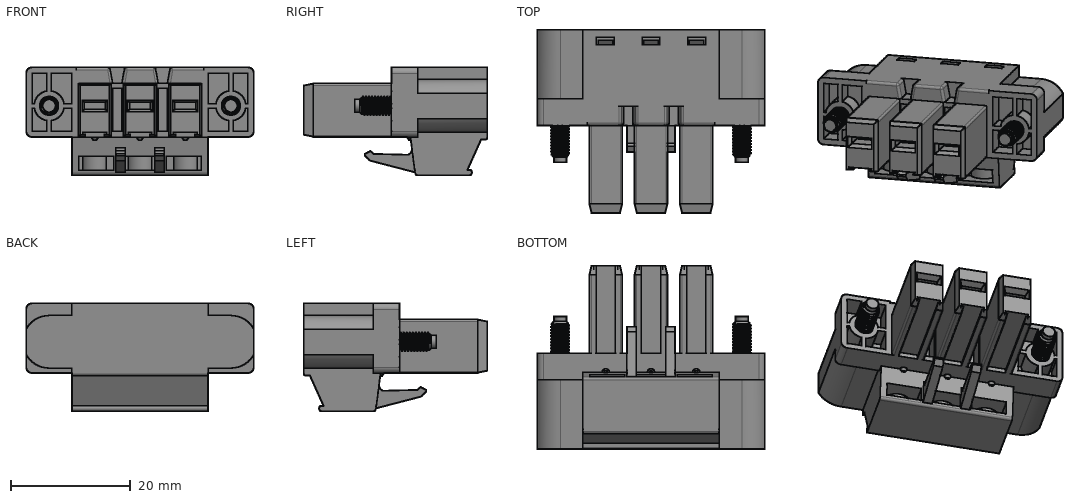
import cadquery as cq
import math


pitch = 7.62
half_width = 19.05
top_z = 6.45
flange_bottom_z = -5.25
bottom_z = -11.65
back_y = 16.05
flange_depth = 4.45
flange_corner = 1.0
body_half_width = 11.4
screw_x = 15.2
wing_radius = 4.4
position_xs = [-pitch, 0, pitch]

contact_pitch = 7.57
contact_xs = [-contact_pitch, 0, contact_pitch]
contact_width = 5.57
contact_top = 3.8
contact_length = 14.65
contact_edge = 0.35
tip_length = 1.55
tip_inset = 0.4
tip_shoulder_x, tip_shoulder_z = 0.025, 0.075
mouth_width, mouth_height = 4.2, 1.93
mouth_floor_width, mouth_floor_height = 3.44, 1.12
mouth_depth = 1.15
throat_end_depth = 4.0
rail_slot_width, rail_neck_width = 3.96, 3.2
rail_slot_top, rail_lip_top = -4.4, -4.8
nub_radius, nub_tip_radius = 0.6, 0.25
nub_height, nub_y = 0.5, 3.2

pocket_inner_x, pocket_outer_x = 11.4, 18.05
pocket_top, pocket_bottom = 5.43, -4.24
pocket_depth = 3.45
rib_thickness = 0.75
boss_radius = 2.5

gap_pocket_width = 1.57
gap_pocket_top, gap_pocket_bottom = 2.94, -4.26
notch_depth = 3.18
notch_floor_width = 1.55
notch_top_width = 2.5
lip_half_width = 10.65
lip_fillet = 0.45

thread_radius = 1.56
thread_root_radius = 1.27
thread_pitch = 0.51
thread_base, thread_crest = 0.43, 0.06
thread_overlap = 0.05
thread_embed = 1.5
chamfer_length = 0.6
point_radius = 1.07
point_start, point_end = 5.3, 6.15

roof_window_width, roof_window_length = 3.0, 1.27
roof_window_front = 13.47
roof_step_depth = 0.75
roof_well_width = 2.44
roof_ramp_run, roof_ramp_drop = 0.78, 0.6

block_lip_z = -5.65
block_lip_y = 15.04
block_lip_round = 0.3
hook_top_y, hook_top_z = 12.75, -10.73
hook_top_length = 0.5
hook_tip_y = 13.5
hook_rear_offset = 0.15
block_foot_y = 3.97
block_head_y = 3.18
block_foot_round = 0.45

clip_window_width = 5.9
clip_window_x = 7.32
clip_window_top, clip_window_bottom = -8.43, -10.75
clip_window_back = 7.0
clip_column_half_width = 1.98
clip_column_radius = 2.3

arm_x = 3.25
arm_width = 1.57
arm_anchor_y = 4.2
arm_root_y, arm_root_bottom_z = 3.77, -11.1
arm_tip_y = -4.45
arm_tip_bottom_z, arm_tip_top_z = -8.35, -8.05
arm_belly = (-3.54, -9.2)
arm_hook_peak = (-3.49, -7.55)
arm_hook_foot = (-2.98, -8.03)
arm_blend_start = (2.88, -8.18)
arm_blend_middle = (3.27, -7.78)
arm_blend_end = (3.41, -7.04)


def box(x0, x1, y0, y1, z0, z1):
    """Axis-aligned box between opposite corners."""
    return cq.Workplane("XY").box(x1 - x0, y1 - y0, z1 - z0, centered=False).translate((x0, y0, z0))


def side_prism(points, x_center, width):
    """Extrude a (Y, Z) outline along X, centred on x_center."""
    prism = cq.Workplane("YZ").polyline(points).close().extrude(width / 2, both=True)
    return prism.translate((x_center, 0, 0))


def cylinder_y(radius, x, y0, y1):
    """Cylinder along Y at the screw height."""
    return cq.Workplane("XZ").circle(radius).extrude(y0 - y1).translate((x, y0, 0))


def make_flange():
    """Mounting flange with rounded corners."""
    flange = box(-half_width, half_width, 0, flange_depth, flange_bottom_z, top_z)
    return flange.edges("|Y").fillet(flange_corner)


def make_wing(side):
    """Side wing: slab from the body to the screw axis, closed by a truncated round."""
    round_end = cylinder_y(wing_radius, side * screw_x, flange_depth, back_y)
    slab = box(0, screw_x, flange_depth, back_y, -wing_radius, wing_radius)
    if side < 0:
        slab = slab.mirror("YZ")
    limit = box(-half_width, half_width, flange_depth, back_y, -wing_radius, wing_radius)
    return slab.union(round_end).intersect(limit)


def make_body_and_clip():
    """Central housing and the latch block below it, as one side profile."""
    diagonal = 1 - math.sqrt(0.5)
    lip_mid = block_lip_round * diagonal
    foot_mid = block_foot_round * diagonal
    foot_top_z = bottom_z + block_foot_round
    hook_start_y = hook_top_y + hook_top_length
    hook_mid_z = (hook_top_z + bottom_z) / 2
    return (
        cq.Workplane("YZ")
        .moveTo(block_head_y, top_z)
        .lineTo(back_y, top_z)
        .lineTo(back_y, block_lip_z + block_lip_round)
        .threePointArc((back_y - lip_mid, block_lip_z + lip_mid), (back_y - block_lip_round, block_lip_z))
        .lineTo(block_lip_y, block_lip_z)
        .lineTo(hook_top_y, hook_top_z)
        .lineTo(hook_start_y, hook_top_z)
        .threePointArc((hook_tip_y, hook_mid_z), (hook_start_y - hook_rear_offset, bottom_z))
        .lineTo(block_foot_y + block_foot_round, bottom_z)
        .threePointArc((block_foot_y + foot_mid, bottom_z + foot_mid), (block_foot_y, foot_top_z))
        .lineTo(block_head_y, flange_bottom_z)
        .close()
        .extrude(body_half_width, both=True)
    )


def make_clip_window(x):
    """Opening in the latch block front."""
    half = clip_window_width / 2
    return box(x - half, x + half, 0, clip_window_back, clip_window_bottom, clip_window_top)


def make_clip_column(x):
    """Column with a rounded front, standing against the back of a clip window."""
    half = clip_column_half_width
    bulge = clip_column_radius - math.sqrt(clip_column_radius**2 - half**2)
    return (
        cq.Workplane("XY", origin=(x, clip_window_back, clip_window_bottom))
        .moveTo(-half, 0)
        .threePointArc((0, -bulge), (half, 0))
        .close()
        .extrude(clip_window_top - clip_window_bottom)
    )


def make_arm(x):
    """Spring arm with a hooked end, blended into the latch block face above its root."""
    return (
        cq.Workplane("YZ")
        .moveTo(arm_anchor_y, arm_root_bottom_z)
        .lineTo(arm_root_y, arm_root_bottom_z)
        .lineTo(*arm_belly)
        .lineTo(arm_tip_y, arm_tip_bottom_z)
        .lineTo(arm_tip_y, arm_tip_top_z)
        .lineTo(*arm_hook_peak)
        .lineTo(*arm_hook_foot)
        .lineTo(*arm_blend_start)
        .threePointArc(arm_blend_middle, arm_blend_end)
        .lineTo(arm_anchor_y, arm_blend_end[1])
        .close()
        .extrude(arm_width / 2, both=True)
        .translate((x, 0, 0))
    )


def make_corner_pockets(side):
    """Four pockets around a screw boss, parted by a cross of ribs."""
    pockets = box(pocket_inner_x, pocket_outer_x, 0, pocket_depth, pocket_bottom, pocket_top)
    half_rib = rib_thickness / 2
    upright = box(screw_x - half_rib, screw_x + half_rib, 0, pocket_depth, pocket_bottom, pocket_top)
    crossbar = box(pocket_inner_x, pocket_outer_x, 0, pocket_depth, -half_rib, half_rib)
    boss = cylinder_y(boss_radius, screw_x, 0, pocket_depth)
    pockets = pockets.cut(upright).cut(crossbar).cut(boss)
    return pockets if side > 0 else pockets.mirror("YZ")


def make_notch(x):
    """Tapered notch from the top edge down to the contact tops."""
    half_floor = notch_floor_width / 2
    half_top = notch_top_width / 2
    height = top_z - contact_top
    return (
        cq.Workplane("XZ")
        .polyline([(-half_floor, 0), (half_floor, 0), (half_top, height), (-half_top, height)])
        .close()
        .extrude(notch_depth)
        .translate((x, notch_depth, contact_top))
    )


def make_lip():
    """Front upper part of the flange, with rounded edges along the top and the notches."""
    lip = box(-lip_half_width, lip_half_width, 0, flange_depth, contact_top, top_z)
    for x in (-pitch / 2, pitch / 2):
        lip = lip.cut(make_notch(x))
    top_edges = lip.faces("<Y").edges(">Z")
    slanted_edges = lip.faces("<Y").edges("not(|X or |Z)")
    inner_half_width = pitch / 2 + notch_top_width
    zone_corners = ((-inner_half_width, 0, contact_top), (inner_half_width, notch_depth, top_z + lip_fillet))
    notch_zone = cq.selectors.BoxSelector(*zone_corners)
    side_edges = lip.edges("|Y").edges(">Z").edges(notch_zone)
    edges = top_edges.add(slanted_edges).add(side_edges)
    return edges.fillet(lip_fillet)


def make_contact(x):
    """Contact blade housing: tapered tip, wire mouth and a T-shaped rail slot below."""
    half = contact_width / 2
    shank_length = contact_length - tip_length
    shank = box(-half, half, -shank_length, 0, flange_bottom_z, contact_top)
    shank = shank.edges("|Y").fillet(contact_edge)
    mid_z = (contact_top + flange_bottom_z) / 2
    height = contact_top - flange_bottom_z
    tip = (
        cq.Workplane("XZ", origin=(0, -shank_length, mid_z))
        .rect(contact_width - 2 * tip_shoulder_x, height - 2 * tip_shoulder_z)
        .workplane(offset=tip_length)
        .rect(contact_width - 2 * tip_inset, height - 2 * tip_inset)
        .loft(ruled=True)
    )
    mouth = (
        cq.Workplane("XZ", origin=(0, -contact_length, 0))
        .rect(mouth_width, mouth_height)
        .workplane(offset=-mouth_depth)
        .rect(mouth_floor_width, mouth_floor_height)
        .loft(ruled=True)
    )
    half_w, half_h = mouth_floor_width / 2, mouth_floor_height / 2
    throat = box(-half_w, half_w, -contact_length, throat_end_depth - contact_length, -half_h, half_h)
    half_slot, half_neck = rail_slot_width / 2, rail_neck_width / 2
    slot = box(-half_slot, half_slot, -contact_length, 0, rail_lip_top, rail_slot_top)
    neck = box(-half_neck, half_neck, -contact_length, 0, flange_bottom_z, rail_slot_top)
    contact = shank.union(tip).cut(mouth).cut(throat).cut(slot).cut(neck)
    return contact.translate((x, 0, 0))


def make_nub(x):
    """Small conical nub under the flange."""
    return (
        cq.Workplane("XY", origin=(x, nub_y, flange_bottom_z))
        .circle(nub_radius)
        .workplane(offset=-nub_height)
        .circle(nub_tip_radius)
        .loft()
    )


def make_screw(x):
    """Screw end with a helical thread, a chamfered thread end and a dog point."""
    run = thread_embed + point_start
    helix = cq.Wire.makeHelix(thread_pitch, run, thread_root_radius)
    inner = thread_root_radius - thread_overlap
    half_base, half_crest = thread_base / 2, thread_crest / 2
    ridge_outline = [
        (inner, -half_base), (thread_radius, -half_crest), (thread_radius, half_crest), (inner, half_base),
    ]
    ridge = cq.Workplane("XZ").polyline(ridge_outline).close().sweep(cq.Workplane(obj=helix), isFrenet=True)
    core = cq.Workplane("XY").circle(thread_root_radius).extrude(run)
    outer = thread_radius + thread_overlap
    envelope_outline = [(0, 0), (outer, 0), (outer, run - chamfer_length), (point_radius, run), (0, run)]
    envelope = cq.Workplane("XZ").polyline(envelope_outline).close().revolve(360, (0, 0, 0), (0, 1, 0))
    point = cq.Workplane("XY").circle(point_radius).extrude(thread_embed + point_end)
    screw = core.union(ridge).intersect(envelope).union(point)
    return screw.translate((0, 0, -thread_embed)).rotate((0, 0, 0), (1, 0, 0), 90).translate((x, 0, 0))


def make_roof_window(x):
    """Recess in the roof whose floor has a ramp sinking towards the front."""
    half = roof_window_width / 2
    back = roof_window_front + roof_window_length
    floor = top_z - roof_step_depth
    recess = box(x - half, x + half, roof_window_front, back, floor, top_z)
    ramp = [
        (roof_window_front, floor),
        (roof_window_front, floor - roof_ramp_drop),
        (roof_window_front + roof_ramp_run, floor),
    ]
    return recess.union(side_prism(ramp, x, roof_well_width))


def make_gap_pocket(x):
    """Narrow pocket in the flange between two contacts."""
    half = gap_pocket_width / 2
    return box(x - half, x + half, 0, pocket_depth, gap_pocket_bottom, gap_pocket_top)


lip_space = box(-lip_half_width, lip_half_width, 0, flange_depth, contact_top, top_z)
housing = make_flange().union(make_body_and_clip()).cut(lip_space).union(make_lip())
for side in (-1, 1):
    housing = housing.union(make_wing(side)).cut(make_corner_pockets(side))
    housing = housing.cut(make_gap_pocket(side * pitch / 2))
for x in position_xs:
    housing = housing.cut(make_roof_window(x))
for x in (-clip_window_x, 0, clip_window_x):
    housing = housing.cut(make_clip_window(x))

for x in position_xs:
    housing = housing.union(make_clip_column(x))
for x in contact_xs:
    housing = housing.union(make_contact(x)).union(make_nub(x))
for side in (-1, 1):
    housing = housing.union(make_arm(side * arm_x)).union(make_screw(side * screw_x))

result = housing